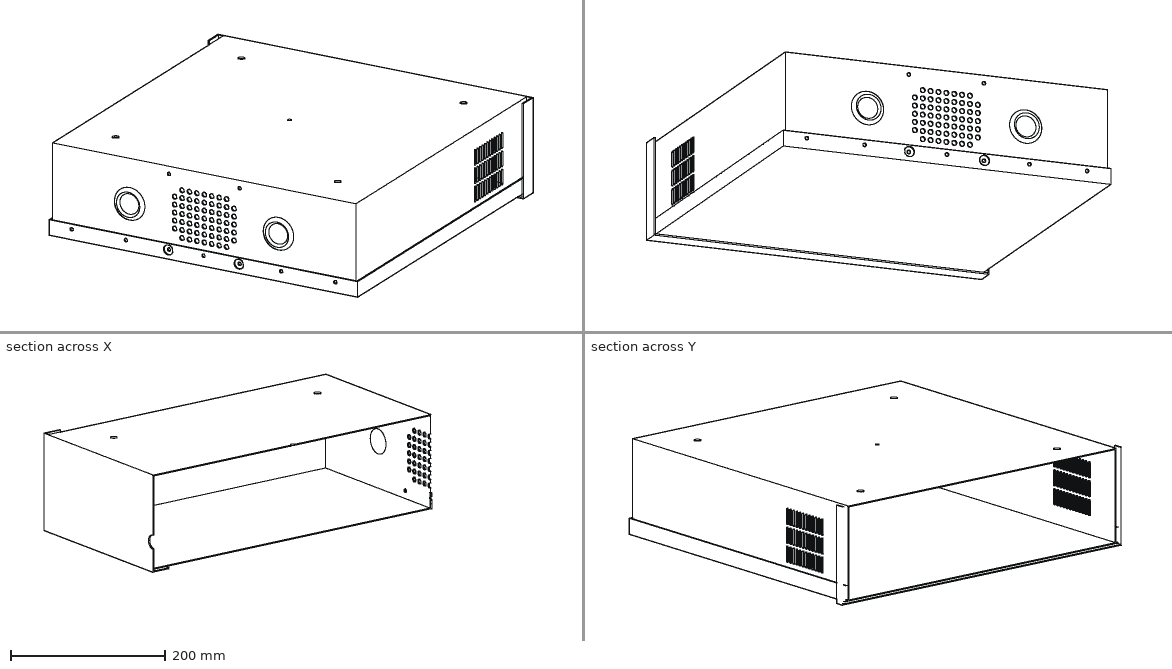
import cadquery as cq


sheet = 2.0
total_width = 470.0
total_height = 132.0
back_y = 226.5
panel_inner_y = back_y - sheet

cover_width = 452.0
cover_front_y = -224.5
flange_depth = 26.0

tray_width = 459.5
tray_bottom_z = 3.8
tray_top_z = 25.5
tray_floor_z = tray_bottom_z + sheet
tray_front_y = cover_front_y - sheet

mount_spacing = 331.0
mount_hole_diameter = 9.0
center_hole_diameter = 4.5

vent_center_z = 69.0
vent_span = 88.5
vent_columns = 9
vent_rows = 7
vent_pitch = vent_span / (vent_columns - 1)
vent_hole_diameter = 6.5
screw_x = 52.5
screw_hole_diameter = 4.5
upper_screw_z = 121.3
lower_screw_z = 16.5
plug_x = 111.0
plug_z = vent_center_z

slot_columns = 12
slot_rows = 3
slot_span = 70.5
slot_pitch_y = slot_span / (slot_columns - 1)
slot_pitch_z = 25.5
slot_length = 21.5
slot_width = 4.0
slot_center_y = 125.0
slot_center_z = 67.0

lock_hole_diameter = 19.0
lock_hole_z = 41.0

lip_hole_xs = [-196.5, -115.5, 0.0, 115.5, 196.5]
lip_hole_z = 18.5
lip_hole_diameter = 4.5
clearance_diameter = 13.5

plug_radius = 22.5
plug_height = 4.0
crest_radius = 17.5
dish_radius = 14.0
dish_height = 1.0
shank_radius = 17.0
shoulder = (21.0, 3.0)


def box(x_range, y_range, z_range):
    """Box between the given limits."""
    (x0, x1), (y0, y1), (z0, z1) = x_range, y_range, z_range
    return cq.Workplane("XY").box(x1 - x0, y1 - y0, z1 - z0, centered=False).translate((x0, y0, z0))


def front_cutter(points, diameter, start_y):
    """Pins along +Y, long enough to pass one sheet whose front face is at start_y."""
    plane = cq.Workplane("XZ", origin=(0, start_y, 0))
    return plane.pushPoints(points).circle(diameter / 2).extrude(-sheet)


def vent_points():
    """Grid of vent holes; the top and bottom rows lack their end holes."""
    points = []
    half_rows = vent_rows // 2
    half_columns = vent_columns // 2
    for row in range(-half_rows, half_rows + 1):
        reach = half_columns - 1 if abs(row) == half_rows else half_columns
        for column in range(-reach, reach + 1):
            points.append((column * vent_pitch, vent_center_z + row * vent_pitch))
    return points


def cover_shell():
    """Roof, front wall and side walls, open below and behind."""
    half = cover_width / 2
    outer = box((-half, half), (cover_front_y, panel_inner_y), (tray_floor_z, total_height))
    inner = box(
        (-half + sheet, half - sheet),
        (cover_front_y + sheet, panel_inner_y),
        (tray_floor_z, total_height - sheet),
    )
    return outer.cut(inner)


def back_panel():
    """Rear plate with a lock hole and a forward rim along both sides and the bottom."""
    half = total_width / 2
    rim_y = back_y - flange_depth
    outer = box((-half, half), (rim_y, back_y), (0, total_height))
    inner = box((-half + sheet, half - sheet), (rim_y, panel_inner_y), (sheet, total_height))
    lock_hole = front_cutter([(0, lock_hole_z)], lock_hole_diameter, panel_inner_y)
    return outer.cut(inner).cut(lock_hole)


def roof_holes():
    """Four mounting holes and the center hole."""
    roof = cq.Workplane("XY", origin=(0, 0, total_height - sheet))
    mounts = roof.rect(mount_spacing, mount_spacing, forConstruction=True).vertices()
    mounts = mounts.circle(mount_hole_diameter / 2).extrude(sheet)
    return mounts.union(roof.circle(center_hole_diameter / 2).extrude(sheet))


def front_holes():
    """Vent holes, screw holes and plug holes of the cover's front wall."""
    screws = [(side * screw_x, z) for side in (-1, 1) for z in (lower_screw_z, upper_screw_z)]
    plugs = [(side * plug_x, plug_z) for side in (-1, 1)]
    vents = front_cutter(vent_points(), vent_hole_diameter, cover_front_y)
    return (
        vents
        .union(front_cutter(screws, screw_hole_diameter, cover_front_y))
        .union(front_cutter(plugs, 2 * shank_radius, cover_front_y))
    )


def side_slots():
    """Rows of upright slots that pass through both side walls."""
    return (
        cq.Workplane("YZ", origin=(-cover_width / 2, slot_center_y, slot_center_z))
        .rarray(slot_pitch_y, slot_pitch_z, slot_columns, slot_rows)
        .slot2D(slot_length, slot_width, 90)
        .extrude(cover_width)
    )


def make_cover():
    body = cover_shell().union(back_panel())
    return body.cut(roof_holes()).cut(front_holes()).cut(side_slots())


def make_tray():
    """Floor with a front lip and two side lips around the foot of the cover."""
    half = tray_width / 2
    outer = box((-half, half), (tray_front_y, panel_inner_y), (tray_bottom_z, tray_top_z))
    inner = box(
        (-half + sheet, half - sheet),
        (cover_front_y, panel_inner_y),
        (tray_floor_z, tray_top_z),
    )
    lip_points = [(x, lip_hole_z) for x in lip_hole_xs]
    clearance_points = [(side * screw_x, lower_screw_z) for side in (-1, 1)]
    lip_holes = front_cutter(lip_points, lip_hole_diameter, tray_front_y)
    clearances = front_cutter(clearance_points, clearance_diameter, tray_front_y)
    return outer.cut(inner).cut(lip_holes).cut(clearances)


def make_plug(x):
    """Round plug with a dished face; its shank ends flush with the wall's inner face."""
    profile = (
        cq.Workplane("XY")
        .moveTo(0, -sheet)
        .lineTo(shank_radius, -sheet)
        .lineTo(shank_radius, 0)
        .lineTo(plug_radius, 0)
        .threePointArc(shoulder, (crest_radius, plug_height))
        .lineTo(dish_radius, dish_height)
        .lineTo(0, dish_height)
        .close()
    )
    plug = profile.revolve(360, (0, 0, 0), (0, 1, 0))
    facing_front = plug.rotate((0, 0, 0), (0, 0, 1), 180)
    return facing_front.translate((x, cover_front_y, plug_z))


cover = make_cover()
tray = make_tray()
plugs = [make_plug(side * plug_x) for side in (-1, 1)]

result = cq.Compound.makeCompound([cover.val(), tray.val(), *[plug.val() for plug in plugs]])